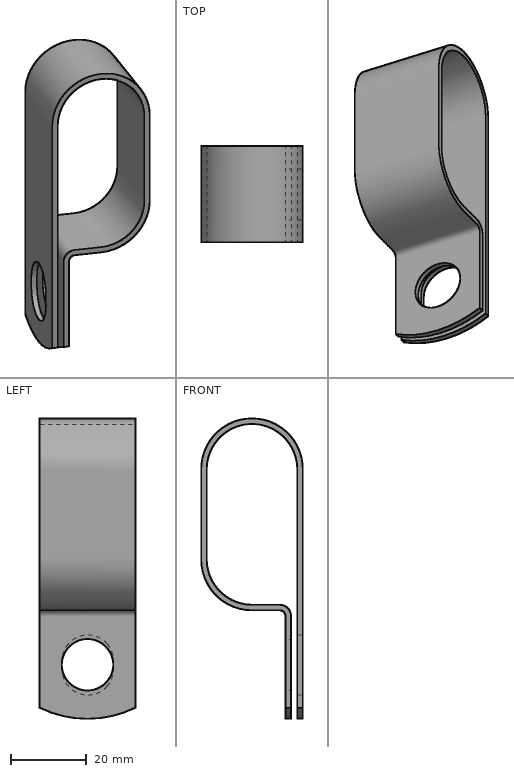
import cadquery as cq

strip_width = 25.4
thickness = 1.524
outer_width = 26.85
side_length = 23.8
total_height = 79.26
flange_gap = 1.5875
bend_inner_radius = 1.5
hole_diameter = 13.5
hole_height = 14.2875
slot_length = 15.875
tip_radius = 28.575

outer_radius = outer_width / 2
inner_radius = outer_radius - thickness
lower_center_z = -side_length
loop_bottom_z = lower_center_z - outer_radius
tip_z = outer_radius - total_height
hole_z = tip_z + hole_height
flange_outer_x = inner_radius - flange_gap
flange_inner_x = flange_outer_x - thickness
bend_outer_radius = bend_inner_radius + thickness
bend_x = flange_inner_x - bend_inner_radius
bend_z = loop_bottom_z - bend_inner_radius


def strip_profile():
    """Bent strip section in XZ, traced along its outside and back along its inside."""
    return (
        cq.Workplane("XZ")
        .moveTo(outer_radius, tip_z)
        .lineTo(outer_radius, 0)
        .radiusArc((-outer_radius, 0), -outer_radius)
        .lineTo(-outer_radius, lower_center_z)
        .radiusArc((0, loop_bottom_z), -outer_radius)
        .lineTo(bend_x, loop_bottom_z)
        .radiusArc((flange_inner_x, bend_z), bend_inner_radius)
        .lineTo(flange_inner_x, tip_z)
        .lineTo(flange_outer_x, tip_z)
        .lineTo(flange_outer_x, bend_z)
        .radiusArc((bend_x, loop_bottom_z + thickness), -bend_outer_radius)
        .lineTo(0, loop_bottom_z + thickness)
        .radiusArc((-inner_radius, lower_center_z), inner_radius)
        .lineTo(-inner_radius, 0)
        .radiusArc((inner_radius, 0), inner_radius)
        .lineTo(inner_radius, tip_z)
        .close()
    )


def side_outline():
    """Block covering the strip as seen along X, with the rounded lower end."""
    half_width = strip_width / 2
    corner_z = tip_z + tip_radius - (tip_radius**2 - half_width**2) ** 0.5
    return (
        cq.Workplane("YZ")
        .moveTo(-half_width, corner_z)
        .threePointArc((0, tip_z), (half_width, corner_z))
        .lineTo(half_width, outer_radius)
        .lineTo(-half_width, outer_radius)
        .close()
        .extrude(outer_radius, both=True)
    )


def bolt_hole():
    """Round hole along X through the short flange only."""
    return (
        cq.Workplane("YZ", origin=(0, 0, hole_z))
        .circle(hole_diameter / 2)
        .extrude(inner_radius)
    )


def adjustment_slot():
    """Vertical slot along X through the long flange, centred on the round hole."""
    return (
        cq.Workplane("YZ", origin=(inner_radius, 0, hole_z))
        .slot2D(slot_length, hole_diameter, angle=90)
        .extrude(thickness)
    )


strip = strip_profile().extrude(strip_width / 2, both=True)
result = strip.intersect(side_outline()).cut(bolt_hole()).cut(adjustment_slot())